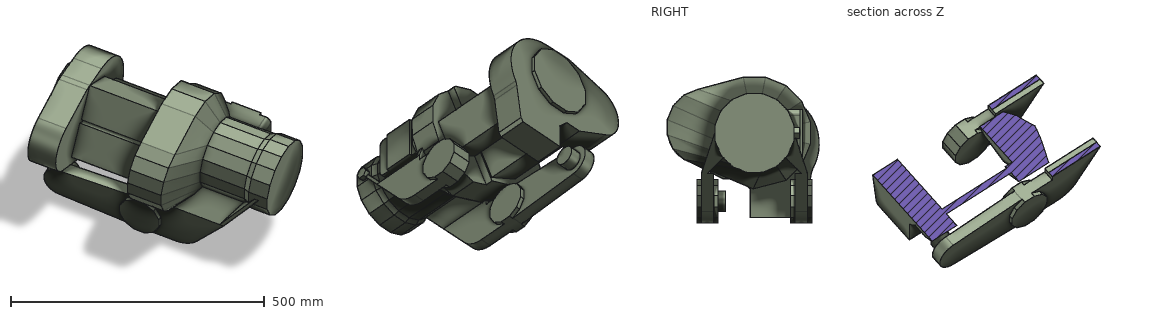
import cadquery as cq
import math


CAP_END = 8.0
PLATE_END = 69.5
FLANGE_START = 228.5
FLANGE_STEP = 244.8
FLANGE_END = 302.5
CONE_END = 339.0
SNOUT_NECK_END = 436.5
RIM_START = 448.5
TOTAL_LENGTH = 489.5

CAP_FLATS = 140.5
CAP_SIDES = 12
RING_SIDES = 16
NECK_APOTHEM = 73.5
RIM_APOTHEM = 78.0
FLANGE_APOTHEM = 110.0
LOBE_APOTHEM = 75.0
LOBE_Y, LOBE_Z = -97.0, 11.5
FLANGE_TOE = (-2.5, -FLANGE_APOTHEM)

PLATE_BIG_R = 103.0
PLATE_BIG_Y, PLATE_BIG_Z = 25.0, -22.0
PLATE_LOBE_R = 59.5
PLATE_LOBE_Y, PLATE_LOBE_Z = -110.5, 1.5
PLATE_TOP = 82.0
PLATE_TOP_START_Y = 30.5
PLATE_FLAT = (-20.5, -33.5)
PLATE_LOBE_START_Y = -125.0
PLATE_LOBE_END = (-133.5, -54.0)
PLATE_UNDERSIDE = [(-61.5, -90.5), (-27.0, -90.5)]
PLATE_FOOT_Z = -167.0
PLATE_FOOT_FRONT = -8.5
PLATE_FOOT_REAR = 94.5
PLATE_FOOT_NOTCH_Z = -110.5
PLATE_REAR_SIDE = [(100.5, -159.0), (112.0, -80.0), (115.0, -70.5)]

BAR_TILT = 60.0
BAR_SIZE = 74.0
BAR_GAP = 6.5
LOWER_BAR_SHIFT = 4.0
BAR_TOP_Y, BAR_TOP_Z = -21.0, 82.0
REAR_BAR_DROP = 24.0

PIVOT_X, PIVOT_Z = 225.0, -134.5
HUB_FLATS = 86.0
HUB_SIDES = 12
HUB_INNER, HUB_OUTER = 71.5, 113.5
ARM_INNER, ARM_OUTER = 80.5, 104.8
ARM_HALF = HUB_FLATS / 2
ARM_TOP = -80.0
ARM_STEP_X = 288.0
ARM_TOP_END_X = 407.0
ARM_KNEE_X = 330.0
ARM_KNEE_R = 59.5
TIP_X = 45.0
TIP_R = 34.8
TAPER_END_X = 212.5
PIN_R = 20.5
PIN_INNER = 57.0

PAN_WALL = 9.0
PAN_ROOT = 49.0
PAN_TOP = 1.0
PAN_TOP_Y = 78.0

PAD_START, PAD_END = 293.5, 413.5
PAD_OUTER = 89.5
PAD_HALF_HEIGHT = 46.5
PAD_CORNER_R = 12.0
PAD_LIP_START, PAD_LIP_END = 325.0, 388.5
PAD_LIP_OUTER = 95.0
NUT_X = 466.5
NUT_SIDES = 6
NUT_DIAMETER = 25.0
NUT_OUTER = 88.5


def at_x(x):
    """Workplane facing +X at a station; its local axes are Y and Z."""
    return cq.Workplane("YZ", origin=(x, 0, 0))


def along_y(y):
    """Workplane in XZ at a given Y; a negative extrusion runs toward +Y."""
    return cq.Workplane("XZ", origin=(0, y, 0))


def ring_points(apothem, sides, y=0.0, z=0.0):
    """Corners of a regular polygon with a flat on top, counter-clockwise from the +Y end of that flat."""
    half_step = math.pi / sides
    radius = apothem / math.cos(half_step)
    angles = [math.pi / 2 + (2 * i - 1) * half_step for i in range(sides)]
    return [(y + radius * math.cos(a), z + radius * math.sin(a)) for a in angles]


def prism(points, start, end):
    return at_x(start).polyline(points).close().extrude(end - start)


def ruled_loft(points_a, points_b, start, end):
    section = at_x(start).polyline(points_a).close()
    return section.workplane(offset=end - start).polyline(points_b).close().loft(ruled=True)


def tilted_point(along, down):
    """Point in YZ, from the upper front bar corner: 'along' toward the rear, 'down' the bar fronts."""
    slope = math.radians(BAR_TILT)
    y = BAR_TOP_Y + along * math.sin(slope) - down * math.cos(slope)
    z = BAR_TOP_Z - along * math.cos(slope) - down * math.sin(slope)
    return (y, z)


def tilted_box(along, down, depth, height, start, end):
    corners = [(0, 0), (depth, 0), (depth, height), (0, height)]
    return prism([tilted_point(along + a, down + d) for a, d in corners], start, end)


def circle_top(y, center_y, center_z, radius):
    return (y, center_z + math.sqrt(radius**2 - (y - center_y) ** 2))


def end_plate():
    """Egg-shaped plate with a foot hanging below its big end."""
    big_end = circle_top(PLATE_TOP_START_Y, PLATE_BIG_Y, PLATE_BIG_Z, PLATE_BIG_R)
    lobe_start = circle_top(PLATE_LOBE_START_Y, PLATE_LOBE_Y, PLATE_LOBE_Z, PLATE_LOBE_R)
    foot_and_rear = [
        *PLATE_UNDERSIDE,
        (PLATE_FOOT_FRONT, PLATE_FOOT_NOTCH_Z),
        (PLATE_FOOT_FRONT, PLATE_FOOT_Z),
        (PLATE_FOOT_REAR, PLATE_FOOT_Z),
        *PLATE_REAR_SIDE,
    ]
    top = [(y, PLATE_TOP) for y in PLATE_FLAT]
    return (
        at_x(CAP_END)
        .polyline([PLATE_LOBE_END] + foot_and_rear)
        .threePointArc((PLATE_BIG_Y + PLATE_BIG_R, PLATE_BIG_Z), big_end)
        .polyline(top + [lobe_start], includeCurrent=True)
        .threePointArc((PLATE_LOBE_Y - PLATE_LOBE_R, PLATE_LOBE_Z), PLATE_LOBE_END)
        .close()
        .extrude(PLATE_END - CAP_END)
    )


def flange_points():
    """Hull of the main ring and the lobe, one corner for each corner of the snout."""
    ring = ring_points(FLANGE_APOTHEM, RING_SIDES)
    lobe = ring_points(LOBE_APOTHEM, RING_SIDES, LOBE_Y, LOBE_Z)
    top_flat = ring[:2]
    lobe_side = lobe[1:8]
    ring_side = ring[10:]
    return top_flat + lobe_side + [FLANGE_TOE] + ring_side


def flange_and_snout():
    outline = flange_points()
    neck = ring_points(NECK_APOTHEM, RING_SIDES)
    rim = ring_points(RIM_APOTHEM, RING_SIDES)
    return (
        prism(outline, FLANGE_START, FLANGE_END)
        .union(ruled_loft(outline, neck, FLANGE_END, CONE_END))
        .union(prism(neck, CONE_END, SNOUT_NECK_END))
        .union(ruled_loft(neck, rim, SNOUT_NECK_END, RIM_START))
        .union(prism(rim, RIM_START, TOTAL_LENGTH))
    )


def lever_arm():
    """Fork arm on the -Y side, with its hub and the pan up to the snout."""
    arm = (
        along_y(-ARM_OUTER)
        .moveTo(PIVOT_X, PIVOT_Z - ARM_HALF)
        .lineTo(ARM_KNEE_X, PIVOT_Z - ARM_HALF)
        .lineTo(ARM_TOP_END_X, ARM_TOP)
        .lineTo(ARM_STEP_X, ARM_TOP)
        .lineTo(ARM_STEP_X, PIVOT_Z + ARM_HALF)
        .lineTo(PIVOT_X, PIVOT_Z + ARM_HALF)
        .close()
        .extrude(ARM_INNER - ARM_OUTER)
    )
    knee = cq.selectors.NearestToPointSelector((ARM_KNEE_X, -ARM_OUTER, PIVOT_Z - ARM_HALF))
    arm = arm.edges("|Y").edges(knee).fillet(ARM_KNEE_R)
    hub_points = ring_points(ARM_HALF, HUB_SIDES, PIVOT_X, PIVOT_Z)
    hub = along_y(-HUB_OUTER).polyline(hub_points).close().extrude(HUB_INNER - HUB_OUTER)
    return arm.union(hub).union(pan())


def pan():
    """45 degree floor between two thin walls; the far wall follows the sloping end of the arm."""
    edge_slope = (ARM_TOP - PIVOT_Z + ARM_HALF) / (ARM_TOP_END_X - ARM_KNEE_X)
    end_top_x = ARM_TOP_END_X + (PAN_TOP - ARM_TOP) / edge_slope
    side = [(ARM_STEP_X, ARM_TOP), (ARM_TOP_END_X, ARM_TOP), (end_top_x, PAN_TOP), (ARM_STEP_X, PAN_TOP)]
    opening = [
        (ARM_STEP_X + PAN_WALL, ARM_TOP),
        (ARM_TOP_END_X - PAN_WALL, ARM_TOP),
        (end_top_x - PAN_WALL, PAN_TOP),
        (ARM_STEP_X + PAN_WALL, PAN_TOP),
    ]
    rise = ARM_OUTER - PAN_ROOT
    floor_drop = PAN_WALL * math.sqrt(2)
    floor_points = [
        (-ARM_OUTER, ARM_TOP),
        (-PAN_ROOT, ARM_TOP + rise),
        (-PAN_ROOT, ARM_TOP + rise - floor_drop),
        (-ARM_OUTER + floor_drop, ARM_TOP),
    ]
    wall_points = [
        (-ARM_OUTER, ARM_TOP),
        (-PAN_TOP_Y, PAN_TOP),
        (-PAN_ROOT, PAN_TOP),
        (-PAN_ROOT, ARM_TOP + rise),
    ]
    side_block = along_y(-ARM_OUTER).polyline(side).close().extrude(-rise)
    opening_block = along_y(-ARM_OUTER).polyline(opening).close().extrude(-rise)
    floor = prism(floor_points, ARM_STEP_X, TOTAL_LENGTH).intersect(side_block)
    walls = prism(wall_points, ARM_STEP_X, TOTAL_LENGTH).intersect(side_block.cut(opening_block))
    return floor.union(walls)


def handle():
    """Tapered handle with a round tip and an inward pin, on the -Y lever only."""
    taper = math.asin((ARM_HALF - TIP_R) / (TAPER_END_X - TIP_X))
    tangent_x = TIP_X - TIP_R * math.sin(taper)
    tangent_z = TIP_R * math.cos(taper)
    blade = (
        along_y(-ARM_OUTER)
        .moveTo(PIVOT_X, PIVOT_Z - ARM_HALF)
        .lineTo(PIVOT_X, PIVOT_Z + ARM_HALF)
        .lineTo(TAPER_END_X, PIVOT_Z + ARM_HALF)
        .lineTo(tangent_x, PIVOT_Z + tangent_z)
        .threePointArc((TIP_X - TIP_R, PIVOT_Z), (tangent_x, PIVOT_Z - tangent_z))
        .lineTo(TAPER_END_X, PIVOT_Z - ARM_HALF)
        .close()
        .extrude(ARM_INNER - ARM_OUTER)
    )
    pin = along_y(-ARM_INNER).center(TIP_X, PIVOT_Z).circle(PIN_R).extrude(PIN_INNER - ARM_INNER)
    return blade.union(pin)


def pad():
    """Flat-topped pad along the neck with a raised lip in the middle of its outer face."""
    base = (
        along_y(0)
        .moveTo((PAD_START + PAD_END) / 2, 0)
        .rect(PAD_END - PAD_START, 2 * PAD_HALF_HEIGHT)
        .extrude(-PAD_OUTER)
        .edges("|Y and >X")
        .fillet(PAD_CORNER_R)
    )
    lip = (
        along_y(0)
        .moveTo((PAD_LIP_START + PAD_LIP_END) / 2, 0)
        .rect(PAD_LIP_END - PAD_LIP_START, 2 * PAD_HALF_HEIGHT)
        .extrude(-PAD_LIP_OUTER)
    )
    return base.union(lip)


def bars():
    """Two square bars in front and a third behind them, all tilted alike."""
    corners = [
        (0, 0),
        (-LOWER_BAR_SHIFT, BAR_SIZE + BAR_GAP),
        (BAR_SIZE, REAR_BAR_DROP),
    ]
    group = cq.Workplane()
    for along, down in corners:
        group = group.union(tilted_box(along, down, BAR_SIZE, BAR_SIZE, PLATE_END, FLANGE_STEP))
    return group


flange_recess = tilted_box(
    BAR_SIZE, -TOTAL_LENGTH / 2, TOTAL_LENGTH, TOTAL_LENGTH, FLANGE_START, FLANGE_STEP
)
cap = prism(ring_points(CAP_FLATS / 2, CAP_SIDES), 0, CAP_END)
near_lever = lever_arm()
far_lever = near_lever.mirror("XZ")
nut = along_y(0).center(NUT_X, 0).polygon(NUT_SIDES, NUT_DIAMETER).extrude(-NUT_OUTER)

result = (
    flange_and_snout()
    .cut(flange_recess)
    .union(bars())
    .union(end_plate())
    .union(cap)
    .union(near_lever)
    .union(handle())
    .union(far_lever)
    .union(pad())
    .union(nut)
)